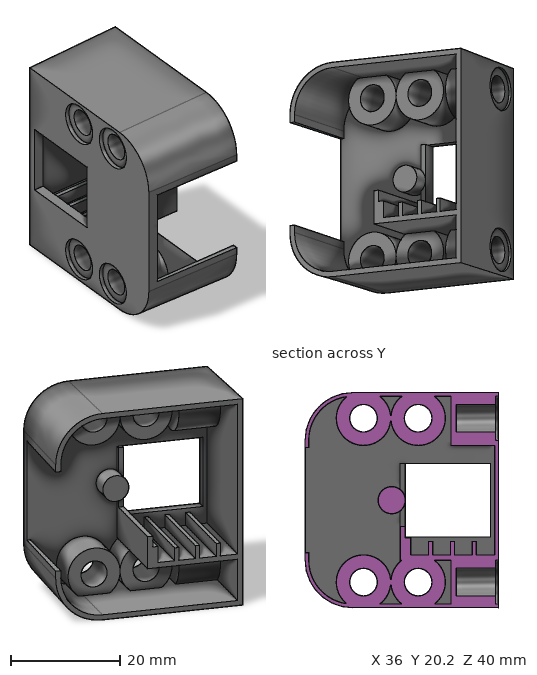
import cadquery as cq
import math

LENGTH = 36.0
DEPTH = 20.2
HEIGHT = 40.0
CORNER_RADIUS = 9.0
DRAFT_ANGLE = 1.0
WALL = 1.0
FRONT_PLATE = 2.0
SIDE_OPENING_HEIGHT = 19.2

HOLE_DIAMETER = 5.0
COUNTERBORE_DIAMETER = 8.0
BOSS_DIAMETER = 10.0
BOSS_LENGTH = 9.0
HOLE_HEIGHT = 15.0
FRONT_HOLE_POSITIONS = (15.0, 25.0)
FRONT_COUNTERBORE_DEPTH = 0.8
SIDE_HOLE_Y = 5.0
SIDE_COUNTERBORE_FLOOR = 0.8
SIDE_HOLE_END = BOSS_LENGTH - WALL

WINDOW_LEFT = 1.8
WINDOW_RIGHT = 17.3
WINDOW_HEIGHT = 13.4
JAMB_DEPTH = 0.8

TRAY_TOP = -10.0
LEDGE_WIDTH = 1.0
LEDGE_DROP = 0.2
RIB_WIDTH = 0.8
RIB_HEIGHT = 2.5
RIB_PITCH = 4.0
RIB_COUNT = 3
TRAY_WALL_TOP = -4.8

POST_DIAMETER = 5.0
POST_X = 19.85
POST_END = 6.0

CUT_OVERRUN = 0.4


def box(x_range, y_range, z_range):
    """Box spanning the given (low, high) range on each axis."""
    lows = [r[0] for r in (x_range, y_range, z_range)]
    sizes = [r[1] - r[0] for r in (x_range, y_range, z_range)]
    return cq.Workplane("XY").box(*sizes, centered=False).translate(tuple(lows))


def cylinder_along_x(diameter, start, end, y, z):
    """Cylinder from x = start to x = end."""
    profile = cq.Workplane("YZ", origin=(start, y, z)).circle(diameter / 2)
    return profile.extrude(end - start)


def cylinder_along_y(diameter, start, end, x, z):
    """Cylinder from y = start to y = end; the XZ plane faces -Y, so the extrusion is negative."""
    profile = cq.Workplane("XZ", origin=(x, start, z)).circle(diameter / 2)
    return profile.extrude(start - end)


def d_outline(inset):
    """Rear outline moved inwards by inset: square on the left, rounded on the right."""
    half_height = HEIGHT / 2 - inset
    right = LENGTH - inset
    radius = CORNER_RADIUS - inset
    straight_end = LENGTH - CORNER_RADIUS
    side_end = HEIGHT / 2 - CORNER_RADIUS
    diagonal = radius * math.sqrt(0.5)
    return (
        cq.Workplane("XZ", origin=(0, DEPTH, 0))
        .moveTo(inset, -half_height)
        .lineTo(straight_end, -half_height)
        .threePointArc((straight_end + diagonal, -side_end - diagonal), (right, -side_end))
        .lineTo(right, side_end)
        .threePointArc((straight_end + diagonal, side_end + diagonal), (straight_end, half_height))
        .lineTo(inset, half_height)
        .close()
    )


def make_bosses():
    """Front bosses run along Y, side bosses along X, all at the two hole heights."""
    bosses = cq.Workplane("XY")
    for z in (-HOLE_HEIGHT, HOLE_HEIGHT):
        bosses = bosses.union(cylinder_along_x(BOSS_DIAMETER, 0, BOSS_LENGTH, SIDE_HOLE_Y, z))
        for x in FRONT_HOLE_POSITIONS:
            bosses = bosses.union(cylinder_along_y(BOSS_DIAMETER, 0, BOSS_LENGTH, x, z))
    return bosses


def make_holes():
    """Front holes pass right through, side holes end blind inside their bosses."""
    holes = cq.Workplane("XY")
    for z in (-HOLE_HEIGHT, HOLE_HEIGHT):
        holes = holes.union(cylinder_along_x(HOLE_DIAMETER, 0, SIDE_HOLE_END, SIDE_HOLE_Y, z))
        holes = holes.union(
            cylinder_along_x(COUNTERBORE_DIAMETER, 0, SIDE_COUNTERBORE_FLOOR, SIDE_HOLE_Y, z)
        )
        for x in FRONT_HOLE_POSITIONS:
            holes = holes.union(cylinder_along_y(HOLE_DIAMETER, 0, DEPTH, x, z))
            holes = holes.union(
                cylinder_along_y(COUNTERBORE_DIAMETER, 0, FRONT_COUNTERBORE_DEPTH, x, z)
            )
    return holes


def make_tray():
    """Shelf with low ribs, a taller ledge, a right-hand wall and a jamb beside the window."""
    run = (FRONT_PLATE, DEPTH)
    wall_x = (WINDOW_RIGHT, WINDOW_RIGHT + WALL)
    ledge_left = WINDOW_RIGHT - LEDGE_WIDTH
    ledge_top = -WINDOW_HEIGHT / 2 - LEDGE_DROP
    tray = box((WALL, wall_x[1]), run, (TRAY_TOP - WALL, TRAY_TOP))
    tray = tray.union(box((ledge_left, WINDOW_RIGHT), run, (TRAY_TOP, ledge_top)))
    tray = tray.union(box(wall_x, run, (TRAY_TOP, TRAY_WALL_TOP)))
    jamb_y = (FRONT_PLATE, FRONT_PLATE + JAMB_DEPTH)
    tray = tray.union(box(wall_x, jamb_y, (TRAY_TOP, WINDOW_HEIGHT / 2)))
    for i in range(1, RIB_COUNT + 1):
        left = ledge_left - i * RIB_PITCH
        tray = tray.union(box((left, left + RIB_WIDTH), run, (TRAY_TOP, TRAY_TOP + RIB_HEIGHT)))
    return tray


outer = d_outline(0).extrude(DEPTH, taper=DRAFT_ANGLE)
cavity = d_outline(WALL).extrude(DEPTH - FRONT_PLATE)
side_opening = box(
    (LENGTH - CORNER_RADIUS, LENGTH + CUT_OVERRUN),
    (FRONT_PLATE, DEPTH + CUT_OVERRUN),
    (-SIDE_OPENING_HEIGHT / 2, SIDE_OPENING_HEIGHT / 2),
)
window = box(
    (WINDOW_LEFT, WINDOW_RIGHT),
    (-CUT_OVERRUN, FRONT_PLATE),
    (-WINDOW_HEIGHT / 2, WINDOW_HEIGHT / 2),
)
post = cylinder_along_y(POST_DIAMETER, 0, POST_END, POST_X, 0)

shell = outer.cut(cavity).cut(side_opening)
inside = make_bosses().union(make_tray()).union(post).intersect(outer)
result = shell.union(inside).cut(window).cut(make_holes())